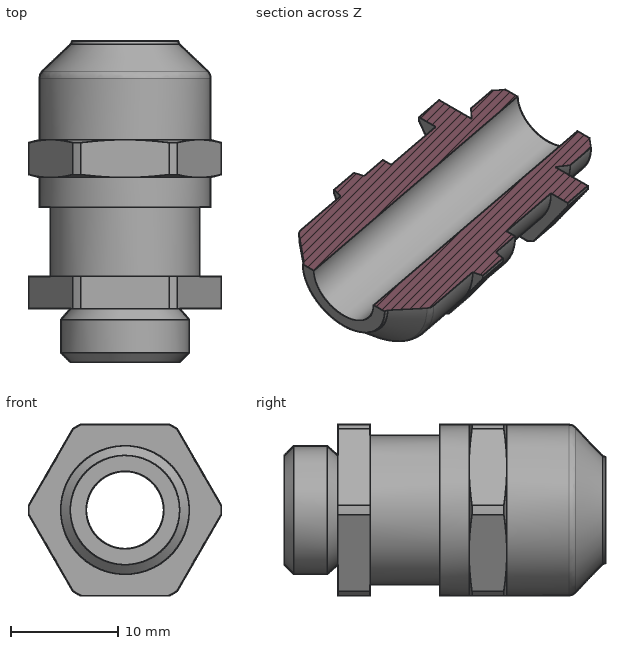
import cadquery as cq
import math

total_length = 30.0
bore_radius = 3.6
across_flats = 48 / 3
hex_corner_radius = 9.0
body_radius = across_flats / 2

thread_radius = 6.0
thread_bevel = 0.9
undercut_start = 4.0
undercut_radius = 5.1

fixed_hex_start = 5.0
fixed_hex_end = 8.0
neck_radius = 7.0
collar_start = 14.5
nut_hex_start = 17.25
nut_hex_end = 20.75

cap_cone_start = 26.9
cap_tip_radius = 4.95
cap_land_radius = 5.07
cap_tip_land = 0.3
cap_edge_round = 0.9

hex_bevel_length = 0.27


def revolve_profile(points):
    """Turn a (radius, station) outline about the Y axis."""
    return cq.Workplane("XY").polyline(points).close().revolve(360, (0, 0, 0), (0, 1, 0))


def hex_prism(start, end):
    """Hexagonal prism along Y with two flats facing up and down."""
    across_corners = across_flats / math.cos(math.pi / 6)
    return (
        cq.Workplane("XZ", origin=(0, start, 0))
        .polygon(6, across_corners)
        .extrude(start - end)
    )


def turned_hex(start, end):
    """Hexagonal prism with its corners turned down to a cylinder."""
    blank = cq.Workplane("XZ", origin=(0, start, 0)).circle(hex_corner_radius).extrude(start - end)
    return hex_prism(start, end).intersect(blank)


def bevelled_hex(start, end):
    """Turned hexagon whose corners are also bevelled by a shallow cone at both ends."""
    blank = revolve_profile([
        (0, start),
        (body_radius, start),
        (hex_corner_radius, start + hex_bevel_length),
        (hex_corner_radius, end - hex_bevel_length),
        (body_radius, end),
        (0, end),
    ])
    return hex_prism(start, end).intersect(blank)


def gland_body():
    """Threaded end, undercut and neck."""
    return revolve_profile([
        (0, 0),
        (thread_radius - thread_bevel, 0),
        (thread_radius, thread_bevel),
        (thread_radius, undercut_start),
        (undercut_radius, fixed_hex_start),
        (neck_radius, fixed_hex_start),
        (neck_radius, collar_start),
        (0, collar_start),
    ])


def cap_nut():
    """Round cap nut with a tapered end and a rounded shoulder."""
    cap = revolve_profile([
        (0, collar_start),
        (body_radius, collar_start),
        (body_radius, cap_cone_start),
        (cap_land_radius, total_length - cap_tip_land),
        (cap_tip_radius, total_length),
        (0, total_length),
    ])
    shoulder = cq.selectors.BoxSelector(
        (-hex_corner_radius, cap_cone_start - 0.3, -hex_corner_radius),
        (hex_corner_radius, cap_cone_start + 0.3, hex_corner_radius),
        boundingbox=True,
    )
    return cap.edges(shoulder).edges("%CIRCLE").fillet(cap_edge_round)


bore = cq.Workplane("XZ").circle(bore_radius).extrude(-total_length)

result = (
    gland_body()
    .union(turned_hex(fixed_hex_start, fixed_hex_end))
    .union(cap_nut())
    .union(bevelled_hex(nut_hex_start, nut_hex_end))
    .cut(bore)
    .translate((0, -total_length / 2, 0))
)